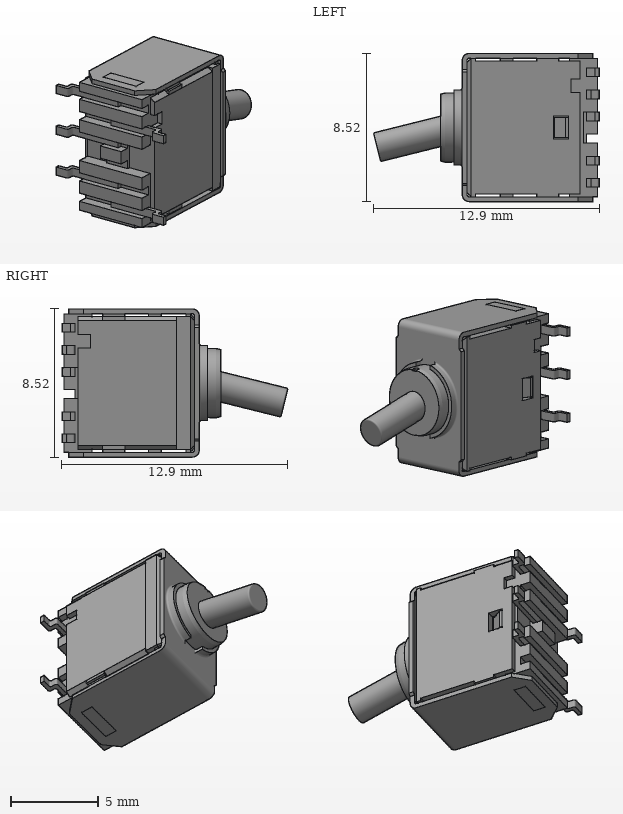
import cadquery as cq


FRAME_HALF_X = 2.37
FRAME_HALF_Z = 4.26
SHEET = 0.28
FRAME_END_Y = -7.5
BEND_RADIUS = 0.41
CORNER_CUT = 0.87
COLLAR_RADIUS = 2.23
COLLAR_TOP_Y = 0.47
COLLAR_FILLET = 0.1
COLLAR_SLOT = 1.11
EDGE_TOLERANCE = 0.01
EAR_HALF_Z = 3.34
EAR_CHAMFER = 0.14

CASE_HALF_X = 2.52
CASE_HALF_Z = 3.82
CASE_FRONT_Y = -SHEET
CASE_CHAMFER = 0.23
PAD_HALF_Z = FRAME_HALF_Z - SHEET
FLANGE_END_Y = -0.78
WIDE_PAD_Y = (-5.55, -4.27)
NARROW_PAD_Y = (-2.92, -2.19)
WALL_END_Y = -6.77
NOTCH_Z = (2.02, 2.78)
NOTCH_END_Y = -6.24
WINDOW_Y = (-6.11, -5.23)
WINDOW_HALF_Z = 0.65

NOSE_RADIUS = 1.99
NOSE_TOP_Y = 1.23
NOSE_CHAMFER_Y = 0.26
NOSE_CHAMFER_R = 0.06
MARK_WIDTH = 0.3
MARK_DEPTH = 0.13

LEVER_RADIUS = 0.85
LEVER_LENGTH = 4.67
LEVER_TILT = 14.0
LEVER_TIP_FILLET = 0.09
PIVOT_Y = 0.35

BASE_HALF_X = 2.21
BASE_HALF_Z = PAD_HALF_Z
BASE_END_Y = -7.78
SHOULDER_Y = -6.15
PLUG_FRONT_Y = -5.11
PLUG_LEFT_X = -2.08
PLUG_HALF_Z = CASE_HALF_Z - (CASE_HALF_X + PLUG_LEFT_X)
LATCH_HALF_X = 1.16
LATCH_END_Y = -6.9
PLATE_FRONT_Y = -1.31
PLATE_END_Y = -6.96
PLATE_BEVEL = 0.22
RECESS_FLOOR_Y = PLATE_END_Y
POST_HALF_X = 0.74
SNAP_Y = (-6.1, -5.94, -5.3)
SNAP_HALF_Z = 0.57
SNAP_HEIGHT = 0.41

PITCH = 1.27
TERMINAL_WIDTH = 0.5
TERMINAL_THICKNESS = 0.26
GROOVE_FLOOR_Y = -7.14
RECESS_HALF_Z = (PITCH + TERMINAL_WIDTH) / 2
TERMINAL_INNER_X = -0.26
STEP_X = 2.95
TERMINAL_SPAN = 7.6
FOOT_END_X = TERMINAL_SPAN / 2
FOOT_BOTTOM_Y = -7.87
OUTER_BEND = 0.12
INNER_BEND = 0.09
GROOVE_ROWS = (2.5, 1.5, 0.5, -0.5, -1.5, -2.5)
LEFT_ROWS = (2.5, 0.5, -1.5)
RIGHT_ROWS = (1.5, -2.5)


def block(x_range, y_range, z_range):
    """Box between two limits along each axis."""
    limits = (x_range, y_range, z_range)
    size = [high - low for low, high in limits]
    return cq.Workplane("XY").box(*size, centered=False).translate([low for low, high in limits])


def both_ways(half):
    """Limits that are symmetric about zero."""
    return (-half, half)


def cylinder_y(radius, y_start, y_end):
    """Cylinder along Y through the origin axis."""
    direction = cq.Vector(0, 1, 0)
    return cq.Workplane(cq.Solid.makeCylinder(radius, y_end - y_start, cq.Vector(0, y_start, 0), direction))


def make_lever():
    """Round lever tilted towards -Z; its foot sits in a matching blind socket in the bushing."""
    lever = cq.Workplane("XY").circle(LEVER_RADIUS).extrude(LEVER_LENGTH)
    lever = lever.faces(">Z").edges().fillet(LEVER_TIP_FILLET)
    lever = lever.rotate((0, 0, 0), (1, 0, 0), -90 - LEVER_TILT)
    return lever.translate((0, PIVOT_Y, 0))


def make_collar():
    """Mounting plate with the slotted ring that is drawn up around the bushing."""
    collar = block(both_ways(FRAME_HALF_X), (-SHEET, 0), both_ways(EAR_HALF_Z))
    collar = collar.union(cylinder_y(COLLAR_RADIUS, -SHEET, COLLAR_TOP_Y))
    collar = collar.cut(cylinder_y(NOSE_RADIUS, -SHEET, COLLAR_TOP_Y))
    slot = block(both_ways(COLLAR_SLOT / 2), (0, COLLAR_TOP_Y), both_ways(FRAME_HALF_Z))
    collar = collar.cut(slot)
    reach = COLLAR_RADIUS + COLLAR_FILLET
    mounting_face = cq.selectors.BoxSelector(
        (-reach, -EDGE_TOLERANCE, -reach),
        (reach, EDGE_TOLERANCE, reach),
    )
    foot_edges = [
        edge
        for edge in collar.edges(mounting_face).vals()
        if edge.geomType() == "LINE" or abs(edge.radius() - COLLAR_RADIUS) < EDGE_TOLERANCE
    ]
    return collar.newObject(foot_edges).fillet(COLLAR_FILLET)


def make_frame():
    """Bent sheet channel with ears, collar and the two holes for the latches of the base."""
    frame = block(both_ways(FRAME_HALF_X), (FRAME_END_Y, 0), both_ways(FRAME_HALF_Z))
    frame = frame.faces(">Y").edges("|X").fillet(BEND_RADIUS)
    channel = block(both_ways(FRAME_HALF_X), (FRAME_END_Y, -SHEET), both_ways(PAD_HALF_Z))
    channel = channel.faces(">Y").edges("|X").fillet(BEND_RADIUS - SHEET)
    frame = frame.cut(channel)
    frame = frame.faces("<Y").edges("|Z").chamfer(CORNER_CUT)
    frame = frame.cut(cylinder_y(NOSE_RADIUS, -SHEET, 0))

    ears = block(both_ways(CASE_HALF_X), (-SHEET, 0), both_ways(EAR_HALF_Z))
    ears = ears.edges("|Y").chamfer(EAR_CHAMFER).cut(cylinder_y(NOSE_RADIUS, -SHEET, 0))
    frame = frame.union(ears).union(make_collar())

    latch_holes = block(both_ways(LATCH_HALF_X), (LATCH_END_Y, SHOULDER_Y), both_ways(FRAME_HALF_Z))
    return frame.cut(latch_holes)


def make_case_body():
    """Case block with its front flange, the pads that touch the frame and the -X side wall."""
    pad_x = (-CASE_HALF_X, FRAME_HALF_X)
    body = block(both_ways(CASE_HALF_X), (SHOULDER_Y, CASE_FRONT_Y), both_ways(CASE_HALF_Z))
    body = body.union(block(pad_x, (FLANGE_END_Y, CASE_FRONT_Y), both_ways(PAD_HALF_Z)))
    body = body.faces(">Y").edges().chamfer(CASE_CHAMFER)
    body = body.union(block(pad_x, WIDE_PAD_Y, both_ways(PAD_HALF_Z)))
    body = body.union(block(both_ways(LATCH_HALF_X), NARROW_PAD_Y, both_ways(PAD_HALF_Z)))

    wall_x = (-CASE_HALF_X, -BASE_HALF_X)
    return body.union(block(wall_x, (WALL_END_Y, SHOULDER_Y), both_ways(CASE_HALF_Z)))


def make_side_plate():
    """Side plate of the base with bevelled long edges, which closes the case at +X."""
    outer_half_z = CASE_HALF_Z - PLATE_BEVEL
    corners = [
        (BASE_HALF_X, -CASE_HALF_Z),
        (CASE_HALF_X, -outer_half_z),
        (CASE_HALF_X, outer_half_z),
        (BASE_HALF_X, CASE_HALF_Z),
    ]
    profile = cq.Workplane("XZ", origin=(0, PLATE_FRONT_Y, 0)).polyline(corners).close()
    return profile.extrude(PLATE_FRONT_Y - PLATE_END_Y)


def make_side_opening():
    """Opening of the case at +X: full height, but only as high as the plate under the wide pads."""
    opening = make_side_plate()
    wall_x = (BASE_HALF_X, CASE_HALF_X)
    for y_range in ((WIDE_PAD_Y[1], PLATE_FRONT_Y), (SHOULDER_Y, WIDE_PAD_Y[0])):
        opening = opening.union(block(wall_x, y_range, both_ways(CASE_HALF_Z)))
    return opening


def make_nose():
    """Bushing with a chamfered rim and a small index mark cut in the rim at +Z."""
    nose = cylinder_y(NOSE_RADIUS, CASE_FRONT_Y, NOSE_TOP_Y)
    nose = nose.faces(">Y").edges().chamfer(NOSE_CHAMFER_Y, NOSE_CHAMFER_R)
    mark = block(
        both_ways(MARK_WIDTH / 2),
        (NOSE_TOP_Y - NOSE_CHAMFER_Y, NOSE_TOP_Y),
        (NOSE_RADIUS - MARK_DEPTH, NOSE_RADIUS),
    )
    return nose.cut(mark)


def make_plug():
    """Part of the base that fills the opening in the -Y end of the case."""
    return block((PLUG_LEFT_X, BASE_HALF_X), (SHOULDER_Y, PLUG_FRONT_Y), both_ways(PLUG_HALF_Z))


def make_case(lever):
    case = make_case_body().cut(make_side_opening())
    case = case.cut(make_plug())
    case = case.cut(block((-CASE_HALF_X, -BASE_HALF_X), (WALL_END_Y, NOTCH_END_Y), NOTCH_Z))
    case = case.cut(block((-CASE_HALF_X, PLUG_LEFT_X), WINDOW_Y, both_ways(WINDOW_HALF_Z)))
    return case.union(make_nose()).cut(lever)


def make_terminal(row, side):
    """Gull-wing terminal in one groove; side is -1 for an end at -X and +1 for an end at +X."""
    foot_top_y = FOOT_BOTTOM_Y + TERMINAL_THICKNESS
    arm_bottom_y = GROOVE_FLOOR_Y - TERMINAL_THICKNESS
    step_outer_x = STEP_X + TERMINAL_THICKNESS
    outline = [
        (TERMINAL_INNER_X, GROOVE_FLOOR_Y),
        (step_outer_x, GROOVE_FLOOR_Y),
        (step_outer_x, foot_top_y),
        (FOOT_END_X, foot_top_y),
        (FOOT_END_X, FOOT_BOTTOM_Y),
        (STEP_X, FOOT_BOTTOM_Y),
        (STEP_X, arm_bottom_y),
        (TERMINAL_INNER_X, arm_bottom_y),
    ]
    terminal = cq.Workplane("XY").polyline(outline).close().extrude(TERMINAL_WIDTH / 2, both=True)
    bends = (
        (step_outer_x, GROOVE_FLOOR_Y, OUTER_BEND),
        (STEP_X, FOOT_BOTTOM_Y, OUTER_BEND),
        (step_outer_x, foot_top_y, INNER_BEND),
        (STEP_X, arm_bottom_y, INNER_BEND),
    )
    for x, y, radius in bends:
        terminal = terminal.edges(cq.selectors.NearestToPointSelector((x, y, 0))).fillet(radius)
    if side < 0:
        terminal = terminal.mirror("YZ")
    return terminal.translate((0, 0, row * PITCH))


def make_snap():
    """Ramped catch on the -X face of the plug, inside the window of the case."""
    back, crest, front = SNAP_Y
    face_x = PLUG_LEFT_X
    corners = [(face_x, back), (face_x - SNAP_HEIGHT, back), (face_x - SNAP_HEIGHT, crest), (face_x, front)]
    return cq.Workplane("XY").polyline(corners).close().extrude(SNAP_HALF_Z, both=True)


def make_base():
    """Base with its plug, latches, catch and side plate, grooved underside and fixed terminals."""
    base = block(both_ways(BASE_HALF_X), (BASE_END_Y, SHOULDER_Y), both_ways(BASE_HALF_Z))
    base = base.union(make_plug())
    base = base.union(block(both_ways(LATCH_HALF_X), (LATCH_END_Y, SHOULDER_Y), both_ways(FRAME_HALF_Z)))
    base = base.union(make_snap())

    plate = make_side_plate()
    plate = plate.cut(block((BASE_HALF_X, CASE_HALF_X), (PLATE_END_Y, NOTCH_END_Y), NOTCH_Z))
    base = base.union(plate)

    for x_range in ((-BASE_HALF_X, -POST_HALF_X), (POST_HALF_X, BASE_HALF_X)):
        base = base.cut(block(x_range, (BASE_END_Y, RECESS_FLOOR_Y), both_ways(RECESS_HALF_Z)))
    for row in GROOVE_ROWS:
        groove = block(both_ways(BASE_HALF_X), (BASE_END_Y, GROOVE_FLOOR_Y), both_ways(TERMINAL_WIDTH / 2))
        base = base.cut(groove.translate((0, 0, row * PITCH)))
    for rows, side in ((LEFT_ROWS, -1), (RIGHT_ROWS, 1)):
        for row in rows:
            base = base.union(make_terminal(row, side))
    return base


lever = make_lever()
frame = make_frame()
case = make_case(lever)
base = make_base()

result = cq.Compound.makeCompound([frame.val(), case.val(), base.val(), lever.val()])